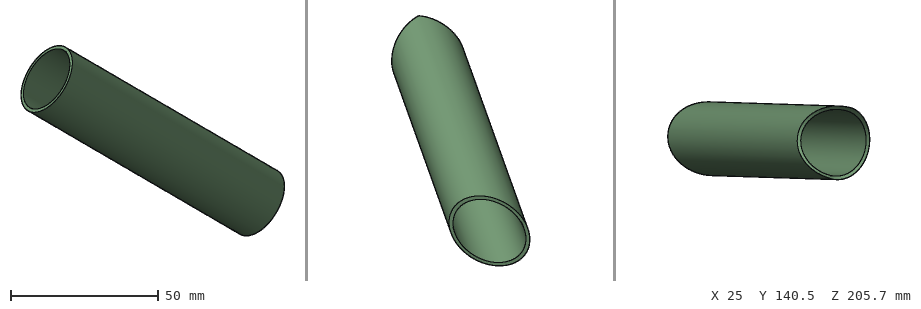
import cadquery as cq
import math

outer_diameter = 25.0
wall = 1.2
overall_height = 205.7
lean_angle = 32.2
mitre_angle = 45.0
mitre_block_size = 102.8

outer_radius = outer_diameter / 2
inner_radius = outer_radius - wall
lean = math.radians(lean_angle)

axis_rise = overall_height - outer_radius * (1 + math.sin(lean))
axis_length = axis_rise / math.cos(lean)
blank_length = axis_length + outer_diameter


def make_tube():
    """Straight upright tube, left long at the top for the mitre."""
    return cq.Workplane("XY").circle(outer_radius).circle(inner_radius).extrude(blank_length)


def make_saddle_cutter():
    """Cylinder along X that notches the lower end to fit an equal tube."""
    return cq.Workplane("YZ").circle(outer_radius).extrude(outer_diameter, both=True)


def make_mitre_cutter():
    """Block whose sloped lower face trims the top, leaving the +X side longest."""
    block = cq.Workplane("XY").box(
        mitre_block_size, mitre_block_size, mitre_block_size, centered=(True, True, False)
    )
    return block.rotate((0, 0, 0), (0, 1, 0), -mitre_angle).translate((0, 0, axis_length))


upright_tube = make_tube().cut(make_saddle_cutter()).cut(make_mitre_cutter())

result = upright_tube.rotate((0, 0, 0), (1, 0, 0), lean_angle)